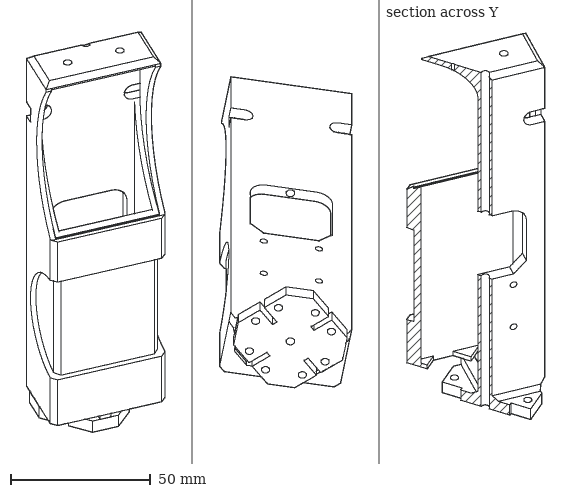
import cadquery as cq

GRIP_ANGLE = 45
total_height = 159.0

plate_width = 35.0
plate_thickness = 5.1
plate_corner = 7.0
plate_slot_width = 1.9
plate_slot_length = 7.8
plate_hole = 2.9
plate_hole_spacing = 10.0
plate_hole_offset = 14.5

grip_width = 44.0
grip_bottom = 10.0
wall = 2.0
back = wall
back_wall = 2 * wall
front = -24.0
cutter_width = 2 * grip_width
edge_chamfer = wall
top_front = -17.8

cavity_back = back - back_wall
lower_cavity_front = front + 2 * wall
ceiling = 156.3
ceiling_fillet = 10.0
floor_top = grip_bottom + wall
thin_width = grip_width - 2 * wall
thick_width = grip_width - 4 * wall

scoop_radius = 49.0
scoop_center_y = -57.2
scoop_center_z = 126.7
scoop_bottom = 92.4
ledge_radius = 53.0
ledge_center_y = -54.9
ledge_center_z = 133.7

recess_radius = 22.0
recess_center_z = 52.5
recess_depth = wall

foot_chamfer = 1.7
neck_taper = 2.4
rib_width = 2 * wall

floor_arm_width = 2 * (plate_width / 2 - plate_corner)
floor_arm_length = 45.8

window_width = 29.9
window_bottom = 62.3
window_top = 92.4
window_chamfer = 5.0
window_fillet = 6.0
notch_height = 6.2
notch_center_z = 134.4
notch_inner_end = 14.0
screw_hole = 2.5
screw_spacing_x = 20.0
screw_spacing_z = 20.0
screw_center_z = 47.2

top_hole = 3.0
top_hole_spacing = 20.0
side_hole_y = -8.0


def box(x_size, y_from, y_to, z_from, z_to):
    """A block centred on X that fills the given Y and Z ranges."""
    low, high = min(y_from, y_to), max(y_from, y_to)
    block = cq.Workplane("XY").box(x_size, high - low, z_to - z_from, centered=(True, False, False))
    return block.translate((0, low, z_from))


def cross_cylinder(radius, y, z, length):
    """A cylinder centred on X with its axis along X."""
    return cq.Workplane("YZ").center(y, z).circle(radius).extrude(length / 2, both=True)


def mounting_plate():
    plate = cq.Workplane("XY").rect(plate_width, plate_width).extrude(plate_thickness)
    plate = plate.edges("|Z").chamfer(plate_corner)
    slot_start = plate_width / 2 - plate_slot_length
    side_cut = box(plate_slot_width, slot_start, plate_width / 2, 0, plate_thickness)
    for side in (-1, 1):
        hole = cq.Workplane("XY").circle(plate_hole / 2).extrude(plate_thickness)
        side_cut = side_cut.union(hole.translate((side * plate_hole_spacing / 2, plate_hole_offset, 0)))
    for quarter in range(4):
        plate = plate.cut(side_cut.rotate((0, 0, 0), (0, 0, 1), 90 * quarter))
    return plate


def outer_block(width, block_front):
    """The grip outline, chamfered along the two front edges."""
    block = box(width, block_front, back, grip_bottom, total_height)
    return block.edges("|Z and <Y").chamfer(edge_chamfer)


def scoop_cutter():
    """A cylinder across the grip, ending in a flat at the foot of the scoop."""
    round_cut = cross_cylinder(scoop_radius, scoop_center_y, scoop_center_z, cutter_width)
    return round_cut.intersect(box(cutter_width, 2 * front, 0, scoop_bottom, total_height))


def grip_shell():
    shell = outer_block(grip_width, front)
    shell = shell.cut(box(cutter_width, 2 * front, top_front, scoop_center_z, total_height))
    shell = shell.faces(">Z").chamfer(edge_chamfer)
    shell = shell.cut(scoop_cutter())
    recess = cross_cylinder(recess_radius, front, recess_center_z, cutter_width)
    recess_core = outer_block(grip_width - 2 * recess_depth, front + recess_depth)
    return shell.cut(recess.cut(recess_core))


def cavity():
    """A thick-walled lower room that widens above the curved ledge."""
    lower = box(thick_width, lower_cavity_front, cavity_back, floor_top, ledge_center_z)
    upper = box(thin_width, front + wall, cavity_back, scoop_bottom, ceiling)
    upper = upper.edges("|X and >Y and >Z").fillet(ceiling_fillet)
    ledge = cross_cylinder(ledge_radius, ledge_center_y, ledge_center_z, cutter_width)
    ledge = ledge.union(box(cutter_width, 2 * front, back, ledge_center_z, total_height))
    return lower.union(upper.intersect(ledge))


def floor_opening():
    """A plus-shaped opening that follows the plate, in front of the back wall."""
    arm = cq.Workplane("XY").rect(floor_arm_width, floor_arm_length).extrude(floor_top)
    plus = arm.union(arm.rotate((0, 0, 0), (0, 0, 1), 90)).rotate((0, 0, 0), (0, 0, 1), -GRIP_ANGLE)
    return plus.intersect(box(thick_width, lower_cavity_front, cavity_back, grip_bottom, floor_top))


def neck():
    """The back wall carried down to the plate on a flared foot, with a rib to the front."""
    foot_top = plate_thickness + foot_chamfer
    profile = (
        cq.Workplane("YZ")
        .moveTo(back, grip_bottom)
        .lineTo(back, foot_top)
        .lineTo(back + foot_chamfer, plate_thickness)
        .lineTo(cavity_back - foot_chamfer, plate_thickness)
        .lineTo(cavity_back, foot_top)
        .lineTo(cavity_back, grip_bottom)
        .close()
        .extrude(grip_width / 2, both=True)
    )
    half_top = grip_width / 2
    half_foot = half_top - neck_taper
    taper = (
        cq.Workplane("XZ")
        .polyline(
            [
                (-half_foot, plate_thickness),
                (half_foot, plate_thickness),
                (half_top, grip_bottom),
                (-half_top, grip_bottom),
            ]
        )
        .close()
        .extrude(grip_width, both=True)
    )
    rib = box(rib_width, lower_cavity_front, cavity_back, plate_thickness, grip_bottom)
    return profile.intersect(taper).union(rib)


def back_openings():
    window = box(window_width, cavity_back, back, window_bottom, window_top)
    window = window.edges("|Y and <Z").chamfer(window_chamfer)
    window = window.edges("|Y and >Z").fillet(window_fillet)
    cuts = window
    for side in (-1, 1):
        notch = (
            cq.Workplane("XZ", origin=(0, back, 0))
            .center(side * (notch_inner_end + grip_width / 2), notch_center_z)
            .slot2D(grip_width, notch_height)
            .extrude(back_wall)
        )
        cuts = cuts.union(notch)
    screws = (
        cq.Workplane("XZ", origin=(0, back, screw_center_z))
        .rarray(screw_spacing_x, screw_spacing_z, 2, 2)
        .circle(screw_hole / 2)
        .extrude(back_wall)
    )
    return cuts.union(screws)


def top_holes():
    """One hole down the whole back wall and plate, and two short ones into the cavity."""
    long_hole = cq.Workplane("XY").circle(top_hole / 2).extrude(total_height)
    side_holes = (
        cq.Workplane("XY", origin=(0, side_hole_y, scoop_center_z))
        .rarray(top_hole_spacing, 1.6, 2, 1)
        .circle(top_hole / 2)
        .extrude(total_height - scoop_center_z)
    )
    return long_hole.union(side_holes)


grip = grip_shell().cut(cavity()).cut(floor_opening()).union(neck())
grip = grip.cut(back_openings()).rotate((0, 0, 0), (0, 0, 1), GRIP_ANGLE)
result = grip.union(mounting_plate()).cut(top_holes().rotate((0, 0, 0), (0, 0, 1), GRIP_ANGLE))